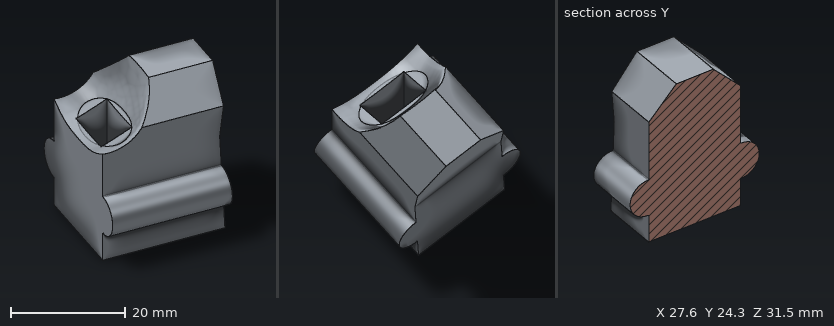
import cadquery as cq
import math

body_width = 19.6
body_height = 31.52
body_depth = 24.25
top_chamfer = 5.86
half_width = body_width / 2

base_depth = 23.8
lower_lean = math.radians(3)
upper_lean = math.radians(7)
waist_height = (
    (base_depth - body_depth + body_height * math.tan(upper_lean))
    / (math.tan(lower_lean) + math.tan(upper_lean))
)
waist_depth = base_depth - waist_height * math.tan(lower_lean)

overall_width = 27.6
rail_radius = 3.8
rail_height = 9.55
rail_center_x = overall_width / 2 - rail_radius
rail_root_fillet = 0.15

hole_width = 10.0
hole_length = 6.0
hole_front = 2.0

scoop_middle = [(0, 19.72), (1.25, 20.0), (5.0, 20.4), (8.85, 23.07), (10.3, 25.43), (11.9, 31.52)]
scoop_side = [(0, 22.27), (2.7, 22.35), (5.0, 23.2), (7.6, 25.66), (8.9, 28.6), (10.5, 31.52)]
scoop_power = 2.45
scoop_steps = 3

floor_front = (1.25, 20.0)
floor_back = (8.85, 23.07)
floor_radius = 100.0

clearance = 2.0


def back_trim():
    """Region kept in front of the two leaning back planes."""
    return (
        cq.Workplane("YZ")
        .moveTo(0, 0)
        .lineTo(base_depth, 0)
        .lineTo(waist_depth, waist_height)
        .lineTo(body_depth, body_height)
        .lineTo(0, body_height)
        .close()
        .extrude(overall_width, both=True)
    )


def body():
    """Block with two chamfered top edges and a rail on each side."""
    block = (
        cq.Workplane("XY")
        .box(body_width, body_depth, body_height, centered=(True, False, False))
        .edges("|Y and >Z")
        .chamfer(top_chamfer)
    )
    for side in (-1, 1):
        rail = (
            cq.Workplane("XZ", origin=(side * rail_center_x, 0, rail_height))
            .circle(rail_radius)
            .extrude(-body_depth)
        )
        block = block.union(rail)
    root_offset = math.sqrt(rail_radius**2 - (rail_center_x - half_width) ** 2)
    for x in (-half_width, half_width):
        for z in (rail_height - root_offset, rail_height + root_offset):
            root = cq.selectors.NearestToPointSelector((x, body_depth / 2, z))
            block = block.edges(root).fillet(rail_root_fillet)
    return block.intersect(back_trim())


def scoop_section(x):
    """Closed wire at the given X, bounded below by the scoop floor curve."""
    blend = (abs(x) / half_width) ** scoop_power
    points = []
    for (middle_y, middle_z), (side_y, side_z) in zip(scoop_middle, scoop_side):
        y = middle_y + blend * (side_y - middle_y)
        z = middle_z + blend * (side_z - middle_z)
        points.append(cq.Vector(x, y, z))
    front, back = points[0], points[-1]
    outer_y = -clearance
    outer_z = body_height + clearance
    back_top = cq.Vector(x, back.y, outer_z)
    front_top = cq.Vector(x, outer_y, outer_z)
    front_low = cq.Vector(x, outer_y, front.z)
    corners = [back, back_top, front_top, front_low, front]
    edges = [cq.Edge.makeSpline(points)]
    for start, end in zip(corners, corners[1:]):
        edges.append(cq.Edge.makeLine(start, end))
    return cq.Wire.assembleEdges(edges)


def floor_ball():
    """Large sphere through the front and back of the rim, bulging downward."""
    chord_y = floor_back[0] - floor_front[0]
    chord_z = floor_back[1] - floor_front[1]
    chord = math.hypot(chord_y, chord_z)
    rise = math.sqrt(floor_radius**2 - (chord / 2) ** 2)
    center_y = (floor_front[0] + floor_back[0]) / 2 - rise * chord_z / chord
    center_z = (floor_front[1] + floor_back[1]) / 2 + rise * chord_y / chord
    return cq.Workplane("XY").sphere(floor_radius).translate((0, center_y, center_z))


def scoop():
    """Saddle-shaped cutter, limited below by the spherical floor."""
    step_width = half_width / scoop_steps
    sections = [scoop_section(i * step_width) for i in range(-scoop_steps, scoop_steps + 1)]
    return cq.Workplane(cq.Solid.makeLoft(sections)).intersect(floor_ball())


def hole():
    """Rectangular cutter through the full height."""
    return (
        cq.Workplane("XY", origin=(0, hole_front, 0))
        .box(hole_width, hole_length, body_height, centered=(True, False, False))
    )


result = body().cut(scoop()).cut(hole())